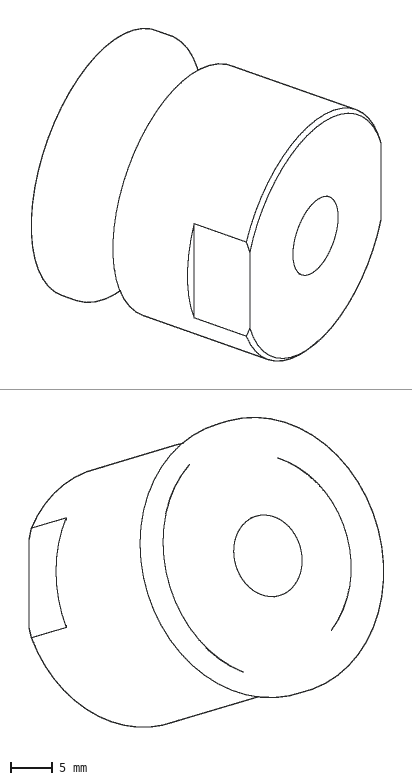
import cadquery as cq
import math

length = 30.0
flange_radius = 17.0
neck_radius = 12.0
body_radius = 16.0
body_start = 10.98
bore_radius = 5.0

flange_rim_end = 2.2
flange_edge_round = 0.17
cone_angle = 20.0
flange_back_round = 0.8
neck_round = 2.0
body_round = 0.5
end_chamfer = 0.5

groove_pitch_radius = 13.75
groove_half_width = 2.0
groove_floor_round = 1.207
groove_lip_round = 0.8
groove_wall_angle = 20.0

flat_distance = 14.52
flat_start = 21.95


def arc_point(center, radius, angle):
    """Point on a circle in the (axial, radial) plane; angle in degrees from the axis."""
    turn = math.radians(angle)
    return (center[0] + radius * math.cos(turn), center[1] + radius * math.sin(turn))


def revolve(profile):
    """Turn a closed (axial, radial) profile about the X axis."""
    return profile.close().revolve(360, (0, 0, 0), (1, 0, 0))


def turned_body():
    rim_center = (flange_rim_end, flange_radius - flange_back_round)
    rim_tangent = arc_point(rim_center, flange_back_round, cone_angle)

    neck_center_radius = neck_radius + neck_round
    cone_end_radius = neck_center_radius - neck_round * math.sin(math.radians(cone_angle))
    cone_rise = (rim_tangent[1] - cone_end_radius) * math.tan(math.radians(cone_angle))
    cone_end = (rim_tangent[0] + cone_rise, cone_end_radius)
    neck_start = cone_end[0] + neck_round * math.cos(math.radians(cone_angle))
    neck_center = (neck_start, neck_center_radius)

    corner_center = (body_start - body_round, neck_radius + body_round)
    edge_center = (body_start + body_round, body_radius - body_round)
    face_center = (flange_edge_round, flange_radius - flange_edge_round)

    profile = (
        cq.Workplane("XY")
        .moveTo(0, bore_radius)
        .lineTo(0, flange_radius - flange_edge_round)
        .threePointArc(arc_point(face_center, flange_edge_round, 135), (flange_edge_round, flange_radius))
        .lineTo(flange_rim_end, flange_radius)
        .threePointArc(arc_point(rim_center, flange_back_round, (90 + cone_angle) / 2), rim_tangent)
        .lineTo(*cone_end)
        .threePointArc(
            arc_point(neck_center, neck_round, (180 + cone_angle + 270) / 2),
            (neck_start, neck_radius),
        )
        .lineTo(body_start - body_round, neck_radius)
        .threePointArc(arc_point(corner_center, body_round, 315), (body_start, neck_radius + body_round))
        .lineTo(body_start, body_radius - body_round)
        .threePointArc(arc_point(edge_center, body_round, 135), (body_start + body_round, body_radius))
        .lineTo(length - end_chamfer, body_radius)
        .lineTo(length, body_radius - end_chamfer)
        .lineTo(length, bore_radius)
    )
    return revolve(profile)


def gasket_groove():
    wall = math.radians(groove_wall_angle)
    inner_mouth = groove_pitch_radius - groove_half_width
    outer_mouth = groove_pitch_radius + groove_half_width
    inner_lip = (groove_lip_round, inner_mouth)
    outer_lip = (groove_lip_round, outer_mouth)
    lip_middle = (90 + groove_wall_angle + 180) / 2

    inner_lip_end = arc_point(inner_lip, groove_lip_round, 90 + groove_wall_angle)
    outer_lip_end = arc_point(outer_lip, groove_lip_round, 270 - groove_wall_angle)
    floor_edge_radius = groove_pitch_radius - groove_floor_round * math.cos(wall)
    wall_depth = (floor_edge_radius - inner_lip_end[1]) / math.tan(wall)
    floor_center = (
        inner_lip_end[0] + wall_depth - groove_floor_round * math.sin(wall),
        groove_pitch_radius,
    )
    inner_floor = arc_point(floor_center, groove_floor_round, groove_wall_angle - 90)
    outer_floor = arc_point(floor_center, groove_floor_round, 90 - groove_wall_angle)
    floor_bottom = arc_point(floor_center, groove_floor_round, 0)

    profile = (
        cq.Workplane("XY")
        .moveTo(0, inner_mouth)
        .threePointArc(arc_point(inner_lip, groove_lip_round, lip_middle), inner_lip_end)
        .lineTo(*inner_floor)
        .threePointArc(floor_bottom, outer_floor)
        .lineTo(*outer_lip_end)
        .threePointArc(arc_point(outer_lip, groove_lip_round, -lip_middle), (0, outer_mouth))
    )
    return revolve(profile)


def wrench_flat(side):
    """Block outside one flat; side is -1 or +1 along Y."""
    depth = body_radius - flat_distance
    return cq.Workplane("XY").box(length - flat_start, depth, 2 * body_radius).translate(
        ((length + flat_start) / 2, side * (flat_distance + depth / 2), 0)
    )


result = turned_body().cut(gasket_groove())
for side in (-1, 1):
    result = result.cut(wrench_flat(side))